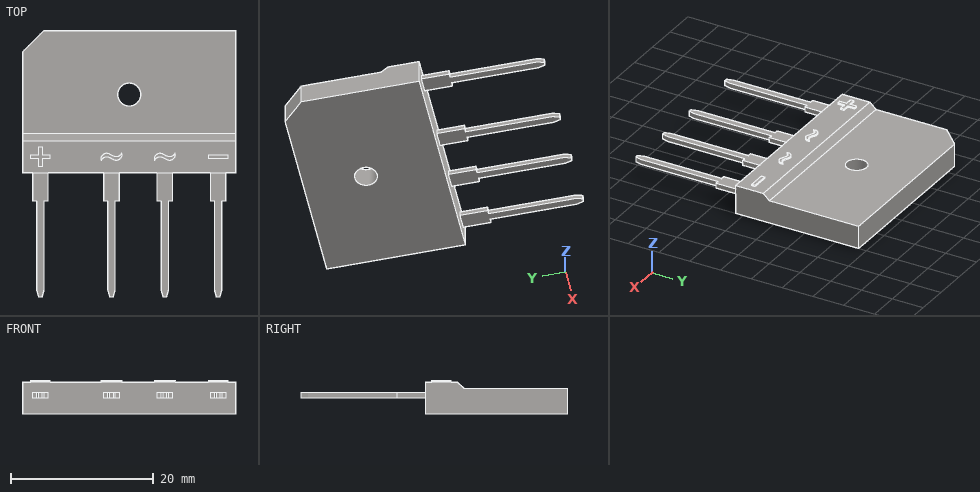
import cadquery as cq

BODY_WIDTH = 30.0
BODY_DEPTH = 20.0
PLATE_HEIGHT = 3.6
RIDGE_HEIGHT = 4.5
RIDGE_DEPTH = 4.5
SLOPE_DEPTH = 1.0
CORNER_CHAMFER = 3.0

HOLE_DIAMETER = 3.2
HOLE_Y = 11.0

LEAD_XS = (-12.5, -2.5, 5.0, 12.5)
LEAD_LENGTH = 17.5
LEAD_THICKNESS = 0.8
LEAD_BOTTOM = 2.25
SHOULDER_WIDTH = 2.2
SHOULDER_LENGTH = 4.0
PIN_WIDTH = 1.05
TIP_WIDTH = 0.5
TIP_LENGTH = 1.0

MARK_HEIGHT = 0.2
MARK_Y = RIDGE_DEPTH / 2
MARK_LENGTH = 2.75
MARK_STROKE = 0.55
WAVE_HALF_LENGTH = 1.43
WAVE_HALF_HEIGHT = 0.5
WAVE_SHOULDER = (-1.36, 0.1)
WAVE_CREST = (-0.75, WAVE_HALF_HEIGHT)
WAVE_DESCENT = (0.3, 0.1)
WAVE_TROUGH = (0.85, 0.04)


def make_body():
    """Flat plate with a sloped step up to a ridge along the front edge."""
    profile = [
        (0, 0),
        (BODY_DEPTH, 0),
        (BODY_DEPTH, PLATE_HEIGHT),
        (RIDGE_DEPTH + SLOPE_DEPTH, PLATE_HEIGHT),
        (RIDGE_DEPTH, RIDGE_HEIGHT),
        (0, RIDGE_HEIGHT),
    ]
    body = cq.Workplane("YZ").polyline(profile).close().extrude(BODY_WIDTH / 2, both=True)
    body = body.edges("|Z").edges(">Y").edges("<X").chamfer(CORNER_CHAMFER)
    hole = cq.Workplane("XY").center(0, HOLE_Y).circle(HOLE_DIAMETER / 2).extrude(RIDGE_HEIGHT)
    return body.cut(hole)


def make_lead(x):
    """Flat lead with a wide shoulder, a narrow pin and a tapered tip."""
    right_side = [
        (SHOULDER_WIDTH / 2, 0),
        (SHOULDER_WIDTH / 2, -SHOULDER_LENGTH),
        (PIN_WIDTH / 2, -SHOULDER_LENGTH),
        (PIN_WIDTH / 2, TIP_LENGTH - LEAD_LENGTH),
        (TIP_WIDTH / 2, -LEAD_LENGTH),
    ]
    left_side = [(-px, py) for px, py in reversed(right_side)]
    plane = cq.Workplane("XY", origin=(x, 0, LEAD_BOTTOM))
    return plane.polyline(right_side + left_side).close().extrude(LEAD_THICKNESS)


def mark_plane(x):
    """Workplane on top of the ridge, centred on a mark."""
    return cq.Workplane("XY", origin=(x, MARK_Y, RIDGE_HEIGHT))


def make_minus(x):
    return mark_plane(x).rect(MARK_LENGTH, MARK_STROKE).extrude(MARK_HEIGHT)


def make_plus(x):
    upright = mark_plane(x).rect(MARK_STROKE, MARK_LENGTH).extrude(MARK_HEIGHT)
    return make_minus(x).union(upright)


def make_wave(x):
    """Alternating-current wave; its lower edge is the upper edge turned half a turn."""
    left_tip = (-WAVE_HALF_LENGTH, -WAVE_HALF_HEIGHT)
    right_tip = (WAVE_HALF_LENGTH, WAVE_HALF_HEIGHT)
    upper_edge = [WAVE_SHOULDER, WAVE_CREST, WAVE_DESCENT, WAVE_TROUGH, right_tip]
    lower_edge = [(-px, -py) for px, py in upper_edge]
    outline = mark_plane(x).moveTo(*left_tip).spline(upper_edge, includeCurrent=True)
    outline = outline.spline(lower_edge, includeCurrent=True)
    return outline.close().extrude(MARK_HEIGHT)


plus_x, first_wave_x, second_wave_x, minus_x = LEAD_XS

result = make_body()
for lead_x in LEAD_XS:
    result = result.union(make_lead(lead_x))
result = result.union(make_plus(plus_x))
result = result.union(make_wave(first_wave_x))
result = result.union(make_wave(second_wave_x))
result = result.union(make_minus(minus_x))